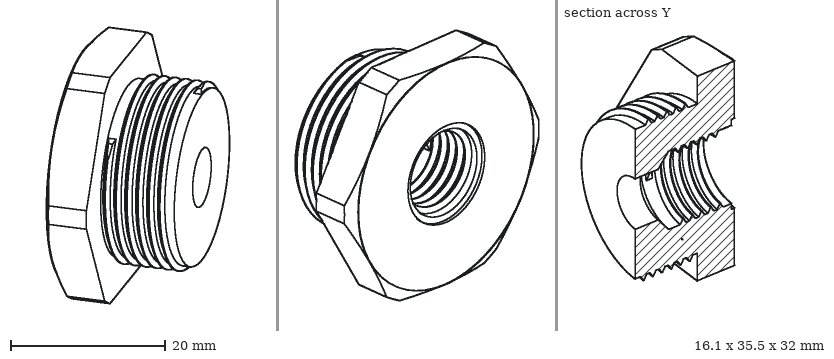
import cadquery as cq
import math

ACROSS_FLATS = 32.0
ACROSS_CORNERS = 35.45
HEAD_LENGTH = 6.02
FACE_STEP = 0.1
CHAMFER_LENGTH = 0.75

OVERALL_LENGTH = 16.05
SPIGOT_RADIUS = 23.43 / 2

RECESS_RADIUS = 14.0 / 2
RECESS_DEPTH = 0.5
BORE_RADIUS = 12.15 / 2
BORE_DEPTH = 10.63
BORE_CONE_ANGLE = 52.0
THROUGH_RADIUS = 7.83 / 2

PITCH = 1.5
RIDGE_HEIGHT = 2.1
RIDGE_ROOT_WIDTH = 1.0
RIDGE_CREST_WIDTH = 0.15
RIDGE_SINK = 0.2

OUTER_START_X = 6.65
OUTER_START_ANGLE = 138.0
OUTER_END_ANGLE = 89.5
OUTER_TURNS = 6 + (OUTER_END_ANGLE - OUTER_START_ANGLE) / 360
INNER_START_X = 1.6
INNER_START_ANGLE = 90.0
INNER_TURNS = 5.3

OUTER_END_SLOPE = 2.4
INNER_END_SLOPE = 3.5
END_FLAT_HEIGHT = 1.0
END_FLAT_LENGTH = 10.0
TRIM_MARGIN = 1.0


def revolve_about_x(points):
    """Solid of revolution from (x, radius) points."""
    return cq.Workplane("XY").polyline(points).close().revolve(360, (0, 0, 0), (1, 0, 0))


def hex_prism(across):
    """Hexagonal prism of the head's length with two corners on the Y axis."""
    return (
        cq.Workplane("YZ")
        .transformed(rotate=(0, 0, 30))
        .polygon(6, across, circumscribed=True)
        .extrude(HEAD_LENGTH)
    )


def make_head():
    flat_radius = ACROSS_FLATS / 2
    corner_radius = ACROSS_CORNERS / 2
    corner_trim = hex_prism(ACROSS_CORNERS).rotate((0, 0, 0), (1, 0, 0), 30)
    chamfer_slope = CHAMFER_LENGTH / (corner_radius - flat_radius)
    cone_radius = 2 * corner_radius
    cone_end = FACE_STEP + chamfer_slope * (cone_radius - flat_radius)
    chamfer_cone = revolve_about_x([
        (0, 0),
        (0, flat_radius),
        (FACE_STEP, flat_radius),
        (cone_end, cone_radius),
        (cone_end, 0),
    ])
    return hex_prism(ACROSS_FLATS).intersect(corner_trim).intersect(chamfer_cone)


def make_spigot():
    return (
        cq.Workplane("YZ", origin=(HEAD_LENGTH, 0, 0))
        .circle(SPIGOT_RADIUS)
        .extrude(OVERALL_LENGTH - HEAD_LENGTH)
    )


def make_bore():
    cone_length = (BORE_RADIUS - THROUGH_RADIUS) / math.tan(math.radians(BORE_CONE_ANGLE))
    return revolve_about_x([
        (0, 0),
        (0, RECESS_RADIUS),
        (RECESS_DEPTH, RECESS_RADIUS),
        (RECESS_DEPTH, BORE_RADIUS),
        (BORE_DEPTH, BORE_RADIUS),
        (BORE_DEPTH + cone_length, THROUGH_RADIUS),
        (OVERALL_LENGTH, THROUGH_RADIUS),
        (OVERALL_LENGTH, 0),
    ])


def place(shape, start_x, angle):
    """Lay a shape built about Z, starting on the X axis, about X at the given angle."""
    about_x = shape.rotate((0, 0, 0), (0, 1, 0), 90)
    return about_x.rotate((0, 0, 0), (1, 0, 0), 90 + angle).translate((start_x, 0, 0))


def end_trim(radius, side, direction, end_shape):
    """Tool for one ridge end, where the ridge leaves along `direction` times the Y axis.

    `end_shape` lists (height, length) points of the finished end, from the wall upwards.
    """
    top = end_shape[-1][0]
    bottom = -RIDGE_SINK - TRIM_MARGIN
    behind_end = [(top, -TRIM_MARGIN), (bottom, -TRIM_MARGIN), (bottom, 0)]
    points = [
        (radius + side * height, direction * length)
        for height, length in end_shape + behind_end
    ]
    return cq.Workplane("XY").polyline(points).close().extrude(PITCH / 2, both=True)


def make_thread(radius, side, start_x, start_angle, turns, end_shape):
    """Right-handed ridge on a wall at `radius`; `side` is 1 for outward, -1 for inward."""
    half_crest = RIDGE_CREST_WIDTH / 2
    flank_slope = (RIDGE_ROOT_WIDTH / 2 - half_crest) / RIDGE_HEIGHT
    half_foot = half_crest + flank_slope * (RIDGE_HEIGHT + RIDGE_SINK)
    foot = radius - side * RIDGE_SINK
    crest = radius + side * RIDGE_HEIGHT
    section = cq.Workplane("XZ").polyline([
        (foot, -half_foot),
        (crest, -half_crest),
        (crest, half_crest),
        (foot, half_foot),
    ]).close()
    length = PITCH * turns
    helix = cq.Workplane(obj=cq.Wire.makeHelix(PITCH, length, radius))
    thread = place(section.sweep(helix, isFrenet=True, clean=False), start_x, start_angle)
    ends = [
        (start_x, start_angle, 0.35),
        (start_x + length, start_angle + 360 * turns, -0.35),
    ]
    for end_x, end_angle, direction in ends:
        trim = place(end_trim(radius, side, direction, end_shape), end_x, end_angle)
        thread = thread.cut(trim, clean=False)
    return thread


def make_outer_thread():
    end_shape = [
        (0, 0),
        (END_FLAT_HEIGHT, OUTER_END_SLOPE),
        (END_FLAT_HEIGHT, END_FLAT_LENGTH),
        (RIDGE_HEIGHT + TRIM_MARGIN, END_FLAT_LENGTH),
    ]
    return make_thread(SPIGOT_RADIUS, 0.35, OUTER_START_X, OUTER_START_ANGLE, OUTER_TURNS, end_shape)


def make_inner_thread():
    end_shape = [(0, 0), (2 * RIDGE_HEIGHT, 2 * INNER_END_SLOPE)]
    return make_thread(BORE_RADIUS, -0.35, INNER_START_X, INNER_START_ANGLE, INNER_TURNS, end_shape)


body = make_head().union(make_spigot()).cut(make_bore())
body = body.union(make_inner_thread(), clean=False)
result = body.union(make_outer_thread(), clean=False)